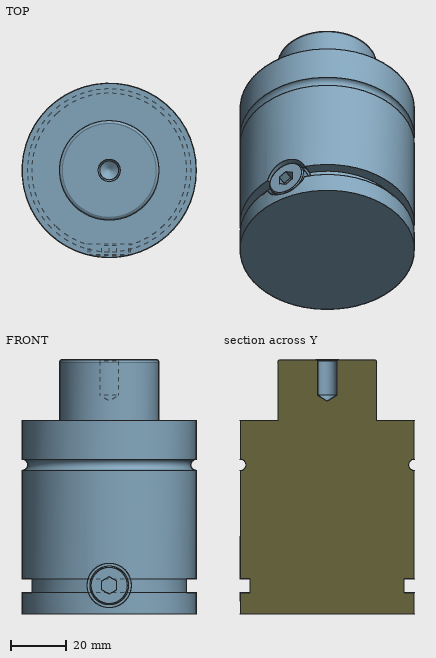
import cadquery as cq
import math

height = 92.0
body_radius = 63.0 / 2
rod_radius = 36.0 / 2
rod_edge_radius = 1.0
body_top = 70.0

round_groove_bottom = 52.0
round_groove_top = 55.9

square_groove_radius = 28.0
square_groove_bottom = 7.8
square_groove_top = 12.8

hole_radius = 6.8 / 2
hole_mouth_diameter = 8.0
hole_depth = 12.9
drill_tip_angle = 118.0

port_height = 10.4
port_radius = 16.0 / 2
plug_radius = 14.0 / 2
plug_chamfer = 0.5
port_floor_distance = 26.7
plug_face_distance = 30.8
hexagon_across_flats = 5.4
hexagon_depth = 3.7


def body_of_revolution():
    groove_radius = (round_groove_top - round_groove_bottom) / 2
    groove_middle = (round_groove_top + round_groove_bottom) / 2
    return (
        cq.Workplane("XZ")
        .lineTo(body_radius, 0)
        .lineTo(body_radius, square_groove_bottom)
        .lineTo(square_groove_radius, square_groove_bottom)
        .lineTo(square_groove_radius, square_groove_top)
        .lineTo(body_radius, square_groove_top)
        .lineTo(body_radius, round_groove_bottom)
        .threePointArc((body_radius - groove_radius, groove_middle), (body_radius, round_groove_top))
        .lineTo(body_radius, body_top)
        .lineTo(rod_radius, body_top)
        .lineTo(rod_radius, height - rod_edge_radius)
        .radiusArc((rod_radius - rod_edge_radius, height), -rod_edge_radius)
        .lineTo(0, height)
        .close()
        .revolve(360, (0, 0), (0, 1))
    )


def rod_hole():
    mouth_radius = hole_mouth_diameter / 2
    mouth_depth = mouth_radius - hole_radius
    tip_depth = hole_radius / math.tan(math.radians(drill_tip_angle / 2))
    return (
        cq.Workplane("XZ")
        .moveTo(0, height)
        .lineTo(mouth_radius, height)
        .lineTo(hole_radius, height - mouth_depth)
        .lineTo(hole_radius, height - hole_depth)
        .lineTo(0, height - hole_depth - tip_depth)
        .close()
        .revolve(360, (0, 0), (0, 1))
    )


def port_plane(distance):
    """Plane facing -Y, centred on the port axis at a distance from the body axis."""
    return cq.Workplane("XZ", origin=(0, -distance, port_height))


def port_bore():
    return port_plane(port_floor_distance).circle(port_radius).extrude(body_radius - port_floor_distance)


def plug():
    plug_height = plug_face_distance - port_floor_distance
    cylinder = port_plane(port_floor_distance).circle(plug_radius).extrude(plug_height)
    return cylinder.faces("<Y").edges().chamfer(plug_chamfer)


def hexagon_socket():
    corner_diameter = hexagon_across_flats / math.cos(math.pi / 6)
    return (
        port_plane(plug_face_distance - hexagon_depth)
        .transformed(rotate=(0, 0, 90))
        .polygon(6, corner_diameter)
        .extrude(hexagon_depth)
    )


result = (
    body_of_revolution()
    .cut(rod_hole())
    .cut(port_bore())
    .union(plug())
    .cut(hexagon_socket())
)